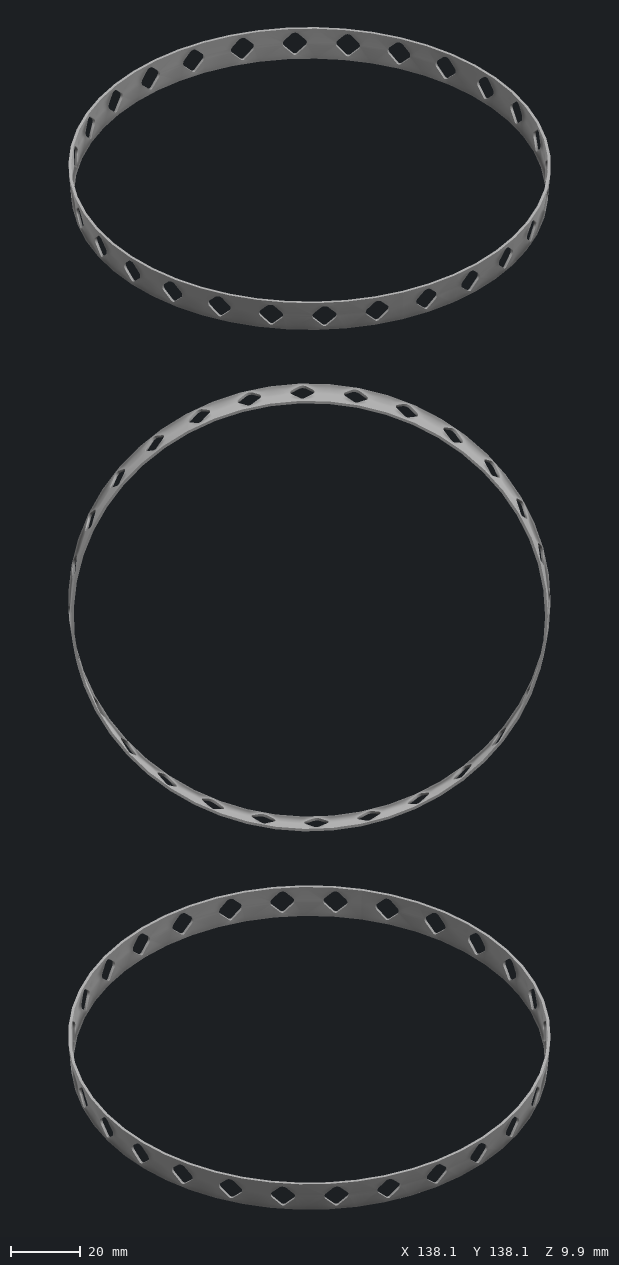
import cadquery as cq
import math

top_radius = 69.04
band_height = 9.9
wall_thickness = 0.8
wall_taper = 0.8
bottom_radius = top_radius - wall_taper

window_count = 28
window_pitch = 360 / window_count
window_side = 5.85
window_height = 5.15
window_corner_radius = 1.55
window_bottom_radius = 0.8
half_diagonal = window_side / math.sqrt(2)

cutter_margin = 1.0
cutter_start = bottom_radius - wall_thickness - cutter_margin
cutter_length = top_radius + cutter_margin - cutter_start

joint_angles = [90, 180, 315]


def band_segment(start_angle, end_angle):
    """Plain part of the conical band between two angles about Z."""
    profile = (
        cq.Workplane("XZ")
        .moveTo(bottom_radius - wall_thickness, 0)
        .lineTo(bottom_radius, 0)
        .lineTo(top_radius, band_height)
        .lineTo(top_radius - wall_thickness, band_height)
        .close()
    )
    segment = profile.revolve(end_angle - start_angle, (0, 0, 0), (0, 1, 0))
    return segment.rotate((0, 0, 0), (0, 0, 1), start_angle)


def window_cutter(angle):
    """Radial bar with a rounded diamond section, sharper at its bottom corner."""
    corners = [(0, half_diagonal), (half_diagonal, 0), (0, -half_diagonal), (-half_diagonal, 0)]
    cutter = (
        cq.Workplane("YZ", origin=(cutter_start, 0, 0))
        .polyline(corners)
        .close()
        .extrude(cutter_length)
    )
    cutter = cutter.edges("|X and <Z").fillet(window_bottom_radius)
    cutter = cutter.edges("|X and (>Z or >Y or <Y)").fillet(window_corner_radius)
    return cutter.translate((0, 0, window_height)).rotate((0, 0, 0), (0, 0, 1), angle)


def windowed_segment(start_angle, end_angle):
    """Band segment with every window, or half window at a joint, that falls on it."""
    segment = band_segment(start_angle, end_angle)
    first_window = math.floor(start_angle / window_pitch)
    last_window = math.ceil(end_angle / window_pitch)
    for i in range(first_window, last_window + 1):
        segment = segment.cut(window_cutter(i * window_pitch))
    return segment


segment_ends = joint_angles[1:] + [joint_angles[0] + 360]
segments = [windowed_segment(start, end) for start, end in zip(joint_angles, segment_ends)]

result = cq.Compound.makeCompound([segment.solids().val() for segment in segments])